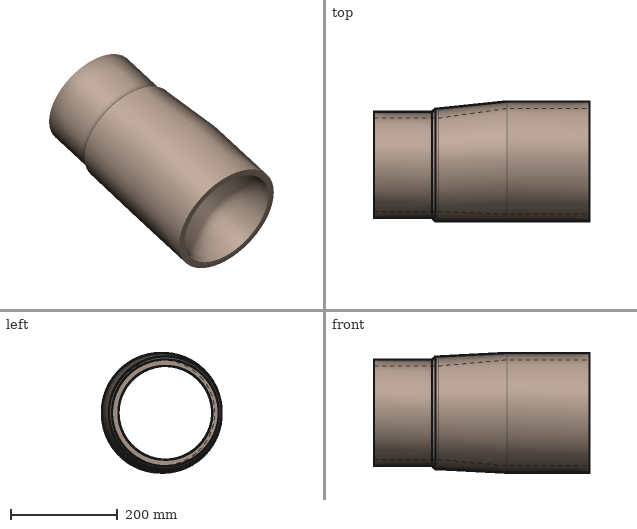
import cadquery as cq

length = 404.0
large_diameter = 225.0
collar_diameter = 211.5
spigot_diameter = 200.0
spigot_bore = 175.5
large_bore = 198.5

collar_start = 109.0
bevel_end = 115.5
taper_start = 120.8
taper_end = 249.3

axis_offset = (large_diameter - collar_diameter) / 2


def cylinder(diameter, start, end, y_center):
    """Round bar along X between two stations."""
    plane = cq.Workplane("YZ", origin=(start, y_center, 0))
    return plane.circle(diameter / 2).extrude(end - start)


def cone(start_diameter, start, start_y, end_diameter, end, end_y):
    """Ruled transition along X between two circles, whose centers may differ in Y."""
    first = cq.Workplane("YZ", origin=(start, start_y, 0)).circle(start_diameter / 2)
    last = first.workplane(offset=end - start).center(end_y - start_y, 0)
    return last.circle(end_diameter / 2).loft(ruled=True)


spigot_y = -axis_offset
body = (
    cylinder(spigot_diameter, 0, collar_start, spigot_y)
    .union(cone(spigot_diameter, collar_start, spigot_y, collar_diameter, bevel_end, spigot_y))
    .union(cylinder(collar_diameter, bevel_end, taper_start, spigot_y))
    .union(cone(collar_diameter, taper_start, spigot_y, large_diameter, taper_end, 0))
    .union(cylinder(large_diameter, taper_end, length, 0))
)

bore = (
    cylinder(spigot_bore, 0, taper_start, spigot_y)
    .union(cone(spigot_bore, taper_start, spigot_y, large_bore, taper_end, 0))
    .union(cylinder(large_bore, taper_end, length, 0))
)

result = body.cut(bore)